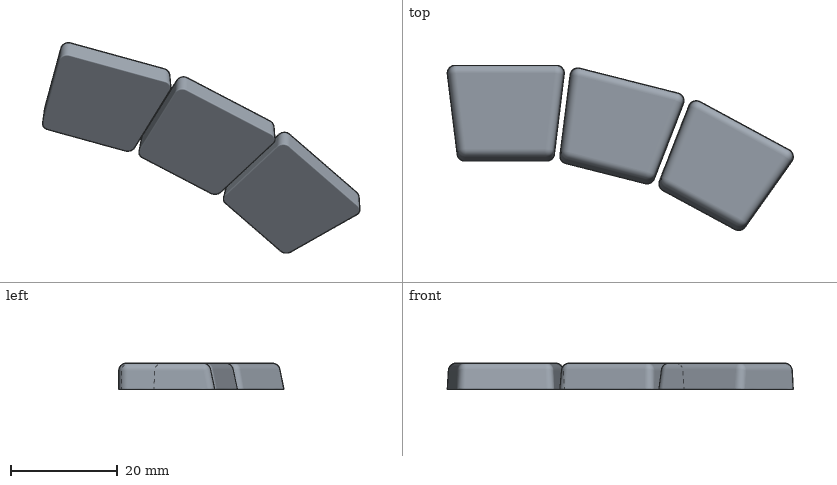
import cadquery as cq
import math

TILE_COUNT = 3
STEP_ANGLE = 14.2
BACK_RADIUS = 94.15

HEIGHT = 5.0
DEPTH = 18.05
BACK_WIDTH = 22.4
SIDE_TAPER = 7.0
FRONT_DRAFT = 12.0
SIDE_DRAFT = 3.5
ROUND_RADIUS = 1.5
BASE_RADIUS = 0.2


def tangent(degrees):
    return math.tan(math.radians(degrees))


def section_corners(z):
    """Sharp corners of the tile's horizontal section at height z."""
    side_inset = z * tangent(SIDE_DRAFT) / math.cos(math.radians(SIDE_TAPER))
    depth = DEPTH - z * tangent(FRONT_DRAFT)
    back_half_width = BACK_WIDTH / 2 - side_inset
    front_half_width = back_half_width - depth * tangent(SIDE_TAPER)
    front_y = BACK_RADIUS - depth
    return [
        (-front_half_width, front_y),
        (front_half_width, front_y),
        (back_half_width, BACK_RADIUS),
        (-back_half_width, BACK_RADIUS),
    ]


def make_tile():
    """Drafted keystone block with rounded corners, top rim and bottom rim."""
    block = (
        cq.Workplane("XY")
        .polyline(section_corners(0)).close()
        .workplane(offset=HEIGHT)
        .polyline(section_corners(HEIGHT)).close()
        .loft(ruled=True)
    )
    rounded = block.edges("not <Z").fillet(ROUND_RADIUS)
    return rounded.faces("<Z").edges().fillet(BASE_RADIUS)


def make_tile_row():
    """Separate copies of the tile, stepped clockwise round the arc axis."""
    tile = make_tile()
    return [
        tile.rotate((0, 0, 0), (0, 0, 1), -index * STEP_ANGLE).val()
        for index in range(TILE_COUNT)
    ]


tiles = make_tile_row()

result = cq.Compound.makeCompound([*tiles])